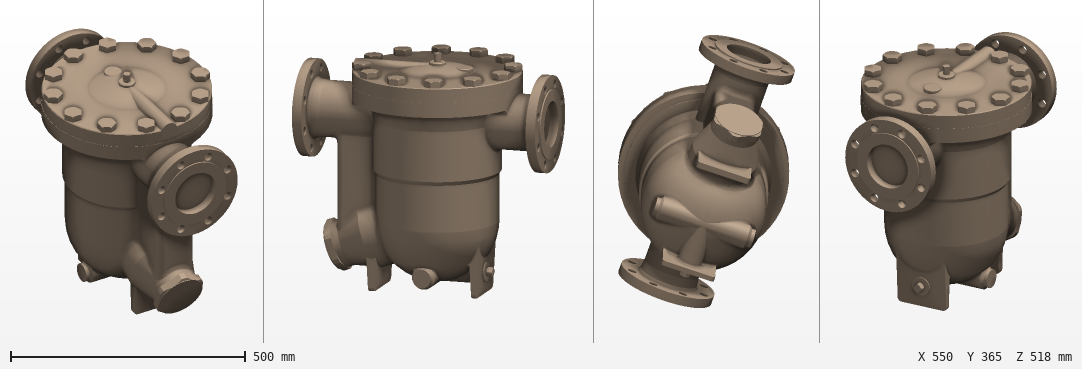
import cadquery as cq
import math

SEAM_SAMPLES = (0.2, 0.5, 0.8)
SEAM_TOLERANCE = 1e-3


FLANGE_R = 182.5
LID_R = 182.0
LID_TOP = 101.5
LID_CHAMFER = 1.75
PARTING_Z = 70.0
FLANGE_BOTTOM = 37.5
RING_R = 168.0
RING_BOTTOM = 34.5
NECK_R = 145.2
NECK_BOTTOM = -3.0
BARREL_R = 138.0
BARREL_BOTTOM = -113.0
BOWL_TOP = -122.0
BOWL_R = 132.5
BOWL_CENTRE_Z = -224.5

CROWN_R = 83.5
CROWN_RISE = 12.5
RIB_R = 20.0
RIB_AXIS_Z = LID_TOP - 7.0

BOLT_COUNT = 12
BOLT_CIRCLE_R = 162.0
BOLT_FLATS = 36.0
BOLT_HEIGHT = 14.0
BOLT_CHAMFER = 2.0

VENT_TOP = 138.0
VENT_SQUARE_BOTTOM = 125.5
VENT_SQUARE = 13.5
VENT_CORNER_D = 17.0
VENT_NECK_R = 7.3
VENT_WASHER_R = 18.0
VENT_WASHER_TOP = 119.5
VENT_WASHER_CHAMFER = 1.5

LID_PLUG_X = -60.0
LID_PLUG_R = 19.2
LID_PLUG_TOP = 111.0
LID_PLUG_CHAMFER = 1.5

PIPE_R = 61.0
INLET_FACE_X = -255.0
OUTLET_FACE_X = 295.0
PIPE_BORE_R = 50.0
PIPE_BORE_DEPTH = 20.0
PIPE_FLANGE_R = 105.0
RAISED_FACE_R = 75.5
RAISED_FACE = 3.0
PIPE_FLANGE_BACK = 24.0
HUB_R = 67.0
HUB_CONE_START = 30.0
HUB_CONE_R = 63.5
HUB_END = 49.5
PIPE_HOLE_COUNT = 8
PIPE_HOLE_CIRCLE_R = 87.5
PIPE_HOLE_D = 19.0
INLET_FILLET = 7.5
PIPE_FLANGE_FILLET = 11.0

DUCT_HALF_WIDTH = 45.0
DUCT_END_X = 214.0
DUCT_CORNER_R = 16.0
DUCT_FILLET_R = 20.0
DUCT_PIPE_FILLET = 14.0
DUCT_BOTTOM = -270.0

BRANCH_TILT = 20.0
BRANCH_FACE_X = 231.0
BRANCH_FACE_Z = -298.6
BRANCH_R = 74.0
BRANCH_LENGTH = 200.0
BRANCH_FILLET = 15.0
BRANCH_CONE_END = 34.0
BRANCH_NECK_R = 105.05 / 2
CAP_THICKNESS = 18.5
CAP_FLATS = 105.05
CAP_CORNER_R = 57.5
CAP_FACE_R = 50.0
CAP_CHAMFER_DEPTH = 4.2

DRAIN_Z = -332.0
DRAIN_R = 26.0
DRAIN_BOSS_Y = 97.0
DRAIN_CONE_Y = 103.0
DRAIN_END_Y = 111.0
DRAIN_END_R = 20.5
DRAIN_FILLET = 5.0
DRAIN_FILLET_START = 40.0

FOOT_PLUG_WASHER_R = 21.0
FOOT_PLUG_WASHER_X = -111.0
FOOT_PLUG_SQUARE_X = -114.0
FOOT_PLUG_END_X = -125.0
FOOT_PLUG_SQUARE = 16.5
FOOT_PLUG_CORNER_D = 20.5
FOOT_PLUG_NECK_R = 8.0

FOOT_BOTTOM = -380.0
FOOT_HALF_WIDTH = 59.5
FOOT_DRAFT = 3.3
FOOT_CORNER_R = 9.0
INLET_FOOT_FILLET = 4.0
INLET_FOOT_X = -100.0
INLET_FOOT_THICKNESS = 10.5
INLET_FOOT_TOP = -240.0
OUTLET_FOOT_X = 129.5
OUTLET_FOOT_THICKNESS = 13.0
OUTLET_FOOT_TOP = -305.0


def seam(base, tool, joined):
    """Edges of the joined solid along which the two parts meet."""
    faces = [tool.val().Faces(), base.val().Faces()]

    def on_both(edge):
        points = [cq.Vertex.makeVertex(*edge.positionAt(t).toTuple()) for t in SEAM_SAMPLES]
        return all(min(face.distance(p) for face in part) < SEAM_TOLERANCE for part in faces for p in points)

    return [edge for edge in joined.edges().vals() if on_both(edge)]


def blend(base, tool, radius, from_x=-math.inf):
    """Join two solids with a fillet along the seam between them, where it lies beyond from_x."""
    joined = base.union(tool)
    edges = [edge for edge in seam(base, tool, joined) if edge.Center().x > from_x]
    return joined.newObject(edges).fillet(radius)


def turned_about_z(*outline):
    """Solid turned about the vessel axis from (radius, height) points."""
    return cq.Workplane("XZ").polyline(outline).close().revolve(360, (0, 0, 0), (0, 1, 0))


def disc(radius, z_low, z_high):
    """Vertical cylinder on the vessel axis."""
    return cq.Workplane("XY").workplane(offset=z_low).circle(radius).extrude(z_high - z_low)


def x_cylinder(radius, x_low, x_high, z):
    """Cylinder along X in the plane y = 0."""
    plane = cq.Plane(origin=(x_low, 0, z), xDir=(0, 1, 0), normal=(1, 0, 0))
    return cq.Workplane(plane).circle(radius).extrude(x_high - x_low)


def square_head(plane, side, corner_d, length):
    """Square key with its corners rounded by a circle, one corner on the plane's x axis."""
    head = cq.Workplane(plane).transformed(rotate=(0, 0, 45)).rect(side, side).extrude(length)
    return head.intersect(cq.Workplane(plane).circle(corner_d / 2).extrude(length))


def barrel():
    """Conical neck, running up inside the body flange, and the cylindrical barrel with its step."""
    slope = (NECK_R - BARREL_R) / (RING_BOTTOM - NECK_BOTTOM)
    top_r = BARREL_R + slope * (PARTING_Z - NECK_BOTTOM)
    return turned_about_z(
        (0, PARTING_Z),
        (top_r, PARTING_Z),
        (BARREL_R, NECK_BOTTOM),
        (BARREL_R, BARREL_BOTTOM),
        (BOWL_R, BOWL_TOP),
        (0, BOWL_TOP),
    )


def bowl():
    """Straight lower wall closed by a hemisphere."""
    dome = cq.Workplane("XY").sphere(BOWL_R).translate((0, 0, BOWL_CENTRE_Z))
    return dome.union(disc(BOWL_R, BOWL_CENTRE_Z, BOWL_TOP))


def pipe(face_x):
    """Flanged pipe with a coned hub, from its face to the vessel axis."""
    inward = -math.copysign(1, face_x)

    def at(distance):
        return face_x + inward * distance

    profile = (
        cq.Workplane("XZ")
        .moveTo(face_x, 0)
        .lineTo(face_x, RAISED_FACE_R)
        .lineTo(at(RAISED_FACE), RAISED_FACE_R)
        .lineTo(at(RAISED_FACE), PIPE_FLANGE_R)
        .lineTo(at(PIPE_FLANGE_BACK), PIPE_FLANGE_R)
        .lineTo(at(PIPE_FLANGE_BACK), HUB_R)
        .lineTo(at(HUB_CONE_START), HUB_CONE_R)
        .lineTo(at(HUB_END), PIPE_R)
        .lineTo(0, PIPE_R)
        .lineTo(0, 0)
        .close()
    )
    return profile.revolve(360, (0, 0, 0), (1, 0, 0))


def pipe_cuts(face_x):
    """Bore and flange bolt holes of one pipe connection."""
    plane = cq.Plane(origin=(face_x, 0, 0), xDir=(0, 1, 0), normal=(-math.copysign(1, face_x), 0, 0))
    bore = cq.Workplane(plane).circle(PIPE_BORE_R).extrude(PIPE_BORE_DEPTH)
    holes = (
        cq.Workplane(plane)
        .polarArray(PIPE_HOLE_CIRCLE_R, 180 / PIPE_HOLE_COUNT, 360, PIPE_HOLE_COUNT)
        .circle(PIPE_HOLE_D / 2)
        .extrude(PIPE_FLANGE_BACK)
    )
    return bore.union(holes)


def pipe_to_flange_fillets():
    """Concave fillets between the pipe sides and the underside of the body flange."""
    centre_z = FLANGE_BOTTOM - PIPE_FLANGE_FILLET
    reach = PIPE_R + PIPE_FLANGE_FILLET
    centre_y = math.sqrt(reach**2 - centre_z**2)
    touch = (centre_y * PIPE_R / reach, centre_z * PIPE_R / reach)
    one_side = (
        cq.Workplane("YZ")
        .moveTo(0, FLANGE_BOTTOM)
        .lineTo(centre_y, FLANGE_BOTTOM)
        .radiusArc(touch, -PIPE_FLANGE_FILLET)
        .lineTo(0, touch[1])
        .close()
        .extrude(FLANGE_R, both=True)
    )
    both_sides = one_side.union(one_side.mirror("XZ"))
    return both_sides.intersect(disc(FLANGE_R, touch[1], FLANGE_BOTTOM))


def lid():
    """Flat lid with a spherical crown and a vent rib running to the outlet side."""
    plate = disc(LID_R, PARTING_Z, LID_TOP).faces(">Z").edges().chamfer(LID_CHAMFER)
    crown = (
        cq.Workplane("XZ")
        .moveTo(0, PARTING_Z)
        .lineTo(CROWN_R, PARTING_Z)
        .lineTo(CROWN_R, LID_TOP)
        .radiusArc((0, LID_TOP + CROWN_RISE), -(CROWN_R**2 + CROWN_RISE**2) / (2 * CROWN_RISE))
        .close()
        .revolve(360, (0, 0, 0), (0, 1, 0))
    )
    rib = x_cylinder(RIB_R, 0, FLANGE_R, RIB_AXIS_Z)
    return plate.union(crown).union(rib)


def lid_bolts():
    """Hexagon heads, each turned with its place on the bolt circle."""
    pitch = 360 / BOLT_COUNT
    corner_d = BOLT_FLATS / math.cos(math.pi / 6)
    head = cq.Workplane("XY").polygon(6, corner_d).extrude(BOLT_HEIGHT)
    trim = cq.Workplane("XY").circle(corner_d / 2).extrude(BOLT_HEIGHT).faces(">Z").chamfer(BOLT_CHAMFER)
    head = head.intersect(trim).rotate((0, 0, 0), (0, 0, 1), -pitch / 2)
    head = head.translate((BOLT_CIRCLE_R, 0, LID_TOP))
    return [head.rotate((0, 0, 0), (0, 0, 1), (index + 0.5) * pitch) for index in range(BOLT_COUNT)]


def vent_plug():
    """Washer, round neck and square key at the lid centre."""
    washer = disc(VENT_WASHER_R, LID_TOP + CROWN_RISE / 2, VENT_WASHER_TOP)
    washer = washer.faces(">Z").chamfer(VENT_WASHER_CHAMFER)
    neck = disc(VENT_NECK_R, VENT_WASHER_TOP, VENT_SQUARE_BOTTOM)
    plane = cq.Plane(origin=(0, 0, VENT_SQUARE_BOTTOM), xDir=(1, 0, 0), normal=(0, 0, 1))
    square = square_head(plane, VENT_SQUARE, VENT_CORNER_D, VENT_TOP - VENT_SQUARE_BOTTOM)
    return washer.union(neck).union(square)


def lid_plug():
    """Round chamfered plug standing out of the lid crown."""
    plug = disc(LID_PLUG_R, PARTING_Z, LID_PLUG_TOP).faces(">Z").chamfer(LID_PLUG_CHAMFER)
    return plug.translate((LID_PLUG_X, 0, 0))


def duct():
    """Vertical duct beside the vessel, rounded at its outer end."""
    return (
        cq.Workplane("XY")
        .workplane(offset=DUCT_BOTTOM)
        .center(DUCT_END_X / 2, 0)
        .rect(DUCT_END_X, 2 * DUCT_HALF_WIDTH)
        .extrude(-DUCT_BOTTOM)
        .edges("|Z and >X")
        .fillet(DUCT_CORNER_R)
    )


def duct_flare():
    """Concave flare joining the duct sides to the bowl wall."""
    reach = BOWL_R + DUCT_FILLET_R
    centre_y = DUCT_HALF_WIDTH + DUCT_FILLET_R
    centre_x = math.sqrt(reach**2 - centre_y**2)
    touch_x = centre_x * BOWL_R / reach
    touch_y = centre_y * BOWL_R / reach
    return (
        cq.Workplane("XY")
        .workplane(offset=BOWL_CENTRE_Z)
        .lineTo(touch_x, -touch_y)
        .radiusArc((centre_x, -DUCT_HALF_WIDTH), DUCT_FILLET_R)
        .lineTo(centre_x, DUCT_HALF_WIDTH)
        .radiusArc((touch_x, touch_y), DUCT_FILLET_R)
        .close()
        .extrude(-BOWL_CENTRE_Z)
    )


def on_branch(solid):
    """Move a solid from the X axis onto the tilted branch axis, +X running into the vessel."""
    turned = solid.rotate((0, 0, 0), (0, 1, 0), 180 + BRANCH_TILT)
    return turned.translate((BRANCH_FACE_X, 0, BRANCH_FACE_Z))


def branch_turning(*outline):
    """Solid turned about the branch axis from (distance behind the cap face, radius) points."""
    turned = cq.Workplane("XY").polyline(outline).close().revolve(360, (0, 0, 0), (1, 0, 0))
    return on_branch(turned)


def branch_shell():
    """Branch cylinder and its cone, with the cone running on to the cap face."""
    slope = math.tan(math.radians(BRANCH_TILT))
    face_r = BRANCH_NECK_R - BRANCH_CONE_END * slope
    cone_start = (BRANCH_R - face_r) / slope
    return branch_turning(
        (0, 0),
        (0, face_r),
        (cone_start, BRANCH_R),
        (BRANCH_LENGTH, BRANCH_R),
        (BRANCH_LENGTH, 0),
    )


def branch_cap():
    """Straight neck and hexagon cap with trimmed corners and a turned face chamfer."""
    neck = branch_turning((0, 0), (0, BRANCH_NECK_R), (BRANCH_CONE_END, BRANCH_NECK_R), (BRANCH_CONE_END, 0))
    corner_d = CAP_FLATS / math.cos(math.pi / 6)
    hexagon = cq.Workplane("YZ").transformed(rotate=(0, 0, 90)).polygon(6, corner_d).extrude(CAP_THICKNESS)
    trim = branch_turning(
        (0, 0),
        (0, CAP_FACE_R),
        (CAP_CHAMFER_DEPTH, CAP_CORNER_R),
        (CAP_THICKNESS, CAP_CORNER_R),
        (CAP_THICKNESS, 0),
    )
    return neck.union(on_branch(hexagon).intersect(trim))


def drain_boss():
    """Drain boss along -Y, coned down to its plugged end."""
    return (
        cq.Workplane("XY")
        .lineTo(DRAIN_R, 0)
        .lineTo(DRAIN_R, -DRAIN_BOSS_Y)
        .lineTo(DRAIN_END_R, -DRAIN_CONE_Y)
        .lineTo(DRAIN_END_R, -DRAIN_END_Y)
        .lineTo(0, -DRAIN_END_Y)
        .close()
        .revolve(360, (0, 0, 0), (0, 1, 0))
        .translate((0, 0, DRAIN_Z))
    )


def bowl_with_drains():
    """Bowl, inlet-side foot and the three drain bosses, with the fillets between them."""
    inlet_foot = foot(INLET_FOOT_X, INLET_FOOT_THICKNESS, INLET_FOOT_TOP)
    joined = blend(bowl(), inlet_foot, INLET_FOOT_FILLET)
    inlet_side = x_cylinder(DRAIN_R, INLET_FOOT_X, -DRAIN_FILLET_START, DRAIN_Z)
    joined = blend(joined, inlet_side, INLET_FOOT_FILLET)
    boss_root = (
        cq.Workplane("XZ", origin=(0, -DRAIN_FILLET_START, DRAIN_Z))
        .circle(DRAIN_R)
        .extrude(DRAIN_BOSS_Y - DRAIN_FILLET_START)
    )
    joined = blend(joined, boss_root, DRAIN_FILLET)
    joined = blend(joined, boss_root.mirror("XZ"), DRAIN_FILLET)
    joined = joined.union(drain_boss()).union(drain_boss().mirror("XZ"))
    return joined.union(x_cylinder(DRAIN_R, INLET_FOOT_X, 0, DRAIN_Z))


def foot_plug():
    """Washer, round neck and square key on the outer face of the inlet-side foot."""
    washer = x_cylinder(FOOT_PLUG_WASHER_R, FOOT_PLUG_WASHER_X, INLET_FOOT_X, DRAIN_Z)
    neck = x_cylinder(FOOT_PLUG_NECK_R, FOOT_PLUG_SQUARE_X, FOOT_PLUG_WASHER_X, DRAIN_Z)
    plane = cq.Plane(origin=(FOOT_PLUG_END_X, 0, DRAIN_Z), xDir=(0, 1, 0), normal=(1, 0, 0))
    square = square_head(plane, FOOT_PLUG_SQUARE, FOOT_PLUG_CORNER_D, FOOT_PLUG_SQUARE_X - FOOT_PLUG_END_X)
    return washer.union(neck).union(square)


def foot(x, thickness, top):
    """Drafted plate foot, thicker towards its top, with rounded lower corners."""
    spread = (top - FOOT_BOTTOM) * math.tan(math.radians(FOOT_DRAFT))
    plate = (
        cq.Workplane("XZ")
        .moveTo(x - thickness / 2, FOOT_BOTTOM)
        .lineTo(x + thickness / 2, FOOT_BOTTOM)
        .lineTo(x + thickness / 2 + spread, top)
        .lineTo(x - thickness / 2 - spread, top)
        .close()
        .extrude(FOOT_HALF_WIDTH, both=True)
    )
    return plate.faces("<Z").edges("|X").fillet(FOOT_CORNER_R)


lower = bowl().union(duct()).union(duct_flare())
lower = blend(lower, branch_shell(), BRANCH_FILLET)
lower = lower.union(bowl_with_drains())
lower = lower.union(foot(OUTLET_FOOT_X, OUTLET_FOOT_THICKNESS, OUTLET_FOOT_TOP))
lower = lower.union(branch_cap()).union(foot_plug())

upper = blend(barrel(), pipe(INLET_FACE_X), INLET_FILLET)
outlet = blend(pipe(OUTLET_FACE_X), duct(), DUCT_PIPE_FILLET, DUCT_END_X - DUCT_CORNER_R)
upper = upper.union(outlet)
upper = upper.union(disc(FLANGE_R, FLANGE_BOTTOM, PARTING_Z))
upper = upper.union(disc(RING_R, RING_BOTTOM, FLANGE_BOTTOM))
upper = upper.union(pipe_to_flange_fillets())
upper = upper.union(lid()).union(lid_plug()).union(vent_plug())
for bolt in lid_bolts():
    upper = upper.union(bolt)
upper = upper.cut(pipe_cuts(INLET_FACE_X)).cut(pipe_cuts(OUTLET_FACE_X))

result = upper.union(lower)